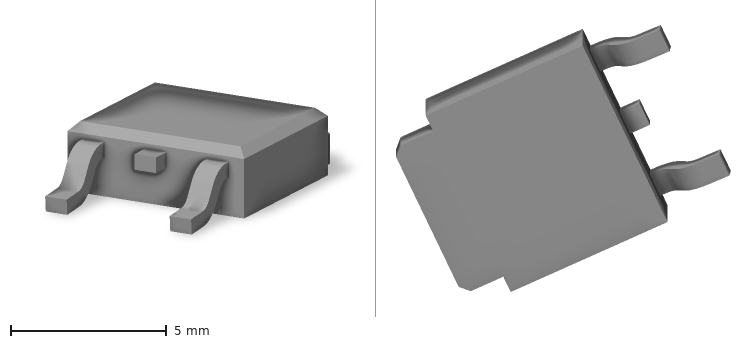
import cadquery as cq
import math

overall_length = 9.51
height = 2.3

body_width = 6.5
body_length = 5.56
body_chamfer = 0.3
body_front = -body_length / 2
body_back = body_length / 2

tab_width = 5.36
tab_length = 1.45
tab_thickness = 1.01
tab_chamfer = 0.295

lead_width = 0.79
lead_thickness = 0.52
lead_top = 1.82
lead_reach = overall_length - body_length - tab_length
lead_spacing = tab_width - lead_width
center_lead_reach = 0.69

shoulder_length = 0.15
bend_radius = 0.78
slope_length = 0.56
slope_angle = math.radians(58)
foot_angle = math.radians(5)
outer_radius = bend_radius + lead_thickness / 2
inner_radius = bend_radius - lead_thickness / 2


def make_body():
    block = cq.Workplane("XY").box(body_width, body_length, height, centered=(True, True, False))
    return block.faces(">Z").chamfer(body_chamfer)


def make_tab():
    tab = (
        cq.Workplane("XY")
        .center(0, body_back + tab_length / 2)
        .box(tab_width, tab_length, tab_thickness, centered=(True, True, False))
    )
    return tab.faces(">Y").edges("|Z").chamfer(tab_chamfer)


def make_center_lead():
    return cq.Workplane("XY").box(lead_width, center_lead_reach, lead_thickness).translate(
        (0, body_front - center_lead_reach / 2, lead_top - lead_thickness / 2)
    )


def arc_point(center, radius, angle):
    """Point (Y, Z) at an angle from straight up, measured towards the foot (-Y)."""
    return (center[0] - radius * math.sin(angle), center[1] + radius * math.cos(angle))


def along(point, distance, angle):
    """Point (Y, Z) reached by running forward and down at an angle below horizontal."""
    return (point[0] - distance * math.cos(angle), point[1] - distance * math.sin(angle))


def make_bent_lead(x_center):
    lead_bottom = lead_top - lead_thickness
    shoulder_end = body_front - shoulder_length
    upper_center = (shoulder_end, lead_top - outer_radius)

    slope_end = along(arc_point(upper_center, bend_radius, slope_angle), slope_length, slope_angle)
    lower_center = arc_point(slope_end, bend_radius, slope_angle)
    mid_upper = slope_angle / 2
    mid_lower = (slope_angle + foot_angle) / 2

    foot_start = arc_point(lower_center, -inner_radius, foot_angle)
    foot_length = (foot_start[0] - (body_front - lead_reach)) / math.cos(foot_angle)
    foot_tip_top = along(foot_start, foot_length, foot_angle)
    foot_tip_bottom = arc_point(foot_tip_top, -lead_thickness, foot_angle)

    profile = (
        cq.Workplane("YZ")
        .moveTo(body_front, lead_top)
        .lineTo(shoulder_end, lead_top)
        .threePointArc(
            arc_point(upper_center, outer_radius, mid_upper),
            arc_point(upper_center, outer_radius, slope_angle),
        )
        .lineTo(*arc_point(lower_center, -inner_radius, slope_angle))
        .threePointArc(arc_point(lower_center, -inner_radius, mid_lower), foot_start)
        .lineTo(*foot_tip_top)
        .lineTo(*foot_tip_bottom)
        .lineTo(*arc_point(lower_center, -outer_radius, foot_angle))
        .threePointArc(
            arc_point(lower_center, -outer_radius, mid_lower),
            arc_point(lower_center, -outer_radius, slope_angle),
        )
        .lineTo(*arc_point(upper_center, inner_radius, slope_angle))
        .threePointArc(
            arc_point(upper_center, inner_radius, mid_upper),
            (shoulder_end, lead_bottom),
        )
        .lineTo(body_front, lead_bottom)
        .close()
    )
    return profile.extrude(lead_width / 2, both=True).translate((x_center, 0, 0))


result = make_body().union(make_tab()).union(make_center_lead())
for side in (-1, 1):
    result = result.union(make_bent_lead(side * lead_spacing / 2))